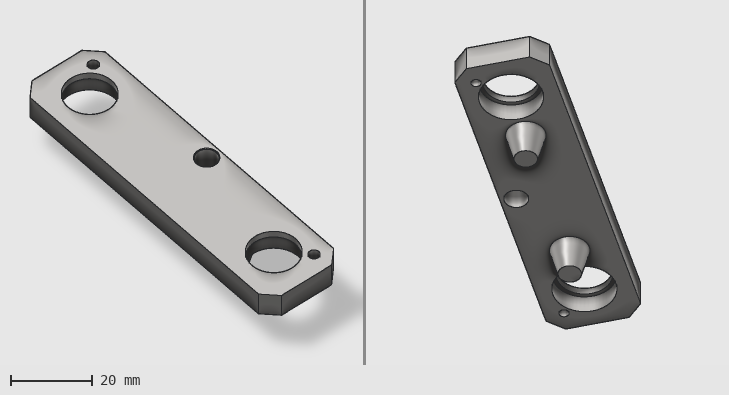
import cadquery as cq

length = 95.0
width = 24.0
thickness = 7.0
corner_cut = 4.0

pin_height = 8.0
pin_root_diameter = 10.0
pin_tip_diameter = 5.8
pin_spacing = 42.0

large_hole_diameter = 14.0
large_recess_diameter = 16.0
large_hole_lip = 2.0
large_hole_spacing = 70.0

small_hole_diameter = 3.0
small_hole_lower_diameter = 2.5
small_hole_upper_depth = 3.5
small_hole_spacing = 84.0
small_hole_y = 7.0

middle_hole_diameter = 6.1
middle_hole_chamfer = 0.2
middle_hole_y = 8.0


def cylinder(diameter, x, y, bottom, top):
    """Upright cylinder between two heights."""
    base = cq.Workplane("XY", origin=(x, y, bottom))
    return base.circle(diameter / 2).extrude(top - bottom)


def tapered_pin(x):
    """Round pin narrowing downward from the underside of the plate."""
    root = cq.Workplane("XY", origin=(x, 0, 0)).circle(pin_root_diameter / 2)
    return root.workplane(offset=-pin_height).circle(pin_tip_diameter / 2).loft()


def stepped_hole(x, y):
    """Cutter for a small through hole that narrows below its upper part."""
    upper = cylinder(small_hole_diameter, x, y, thickness - small_hole_upper_depth, thickness)
    return upper.union(cylinder(small_hole_lower_diameter, x, y, 0, thickness))


def middle_hole():
    """Cutter for the middle hole, flared at the top face."""
    radius = middle_hole_diameter / 2
    rim = cq.Workplane("XY", origin=(0, middle_hole_y, thickness)).circle(radius + middle_hole_chamfer)
    rim = rim.workplane(offset=-middle_hole_chamfer).circle(radius).loft()
    return cylinder(middle_hole_diameter, 0, middle_hole_y, 0, thickness).union(rim)


plate = cq.Workplane("XY").box(length, width, thickness, centered=(True, True, False))
result = plate.edges("|Z").chamfer(corner_cut)

for side in (-1, 1):
    result = result.union(tapered_pin(side * pin_spacing / 2))
    hole_x = side * large_hole_spacing / 2
    result = result.cut(cylinder(large_hole_diameter, hole_x, 0, 0, thickness))
    result = result.cut(cylinder(large_recess_diameter, hole_x, 0, 0, thickness - large_hole_lip))
    result = result.cut(stepped_hole(side * small_hole_spacing / 2, small_hole_y))

result = result.cut(middle_hole())